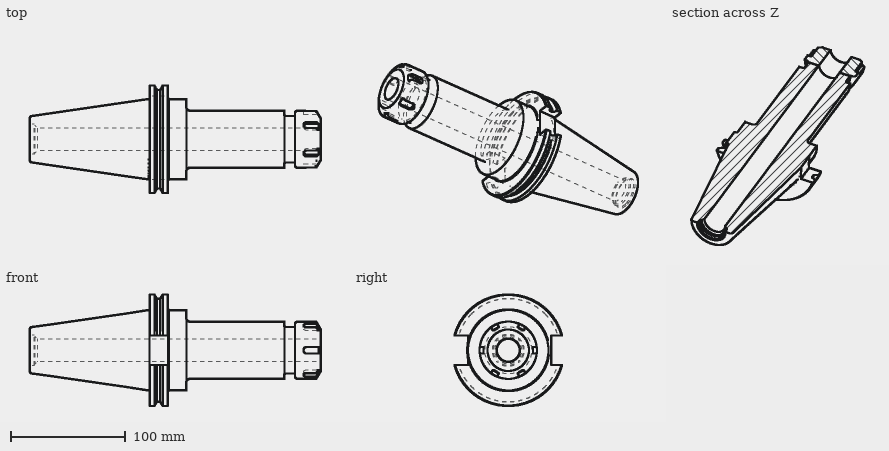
import cadquery as cq
import math


taper_length = 101.75
gauge_diameter = 69.85
taper_ratio = 7 / 24
small_end_diameter = gauge_diameter - taper_length * taper_ratio
small_end_fillet = 2.3

collar_diameter = 70.2
taper_end = taper_length + (collar_diameter - gauge_diameter) / taper_ratio

flange_diameter = 97.5
flange_start = taper_length + 2.8
flange_end = taper_length + 19.1
flange_chamfer = 0.5
flange_root_fillet = 0.8
collar_root_fillet = 0.6
groove_center = taper_length + 10.7
groove_floor_diameter = 90.0
groove_floor_width = 3.1
groove_root_fillet = 0.5
groove_half_angle = 30
groove_depth = (flange_diameter - groove_floor_diameter) / 2
groove_mouth_width = groove_floor_width + 2 * groove_depth * math.tan(math.radians(groove_half_angle))

drive_slot_width = 25.7
front_slot_floor = 35.3
back_slot_floor = 37.7

collar_end = taper_length + 35
shank_diameter = 50.0
shank_root_fillet = 3.0
shank_end = 222.3
neck_diameter = 41.0
neck_root_fillet = 0.7

bore_diameter = 20.0
throat_diameter = 23.6
pilot_diameter = 26.2
mouth_diameter = 28.0
pilot_depth = 4.0
throat_depth = 4.75
bore_start = 6.9

nut_diameter = 50.0
nut_start = 231.3
nut_end = 254.02
nut_face_diameter = 36.2
nut_rear_fillet = 2.3
nut_nose_radius = 1.3
nut_nose_angle = 30
nut_slot_count = 6
nut_slot_width = 6.0
nut_slot_start = 238.9
nut_slot_floor = 21.6


def revolve_profile(profile):
    """Turn a profile, drawn as (x, radius), about the X axis."""
    return profile.close().revolve(360, (0, 0, 0), (1, 0, 0))


def make_holder():
    taper_half_angle = math.atan(taper_ratio / 2)
    fillet_setback = small_end_fillet * math.tan(math.pi / 4 - taper_half_angle / 2)
    rounding_face_radius = small_end_diameter / 2 - fillet_setback
    rounding_end = small_end_fillet * (1 - math.sin(taper_half_angle))
    rounding_end_radius = small_end_diameter / 2 + rounding_end * taper_ratio / 2
    holder = revolve_profile(
        cq.Workplane("XY")
        .moveTo(0, 0)
        .lineTo(0, rounding_face_radius)
        .radiusArc((rounding_end, rounding_end_radius), small_end_fillet)
        .lineTo(taper_end, collar_diameter / 2)
        .lineTo(flange_start - flange_root_fillet, collar_diameter / 2)
        .radiusArc((flange_start, collar_diameter / 2 + flange_root_fillet), -flange_root_fillet)
        .lineTo(flange_start, flange_diameter / 2 - flange_chamfer)
        .lineTo(flange_start + flange_chamfer, flange_diameter / 2)
        .lineTo(flange_end - flange_chamfer, flange_diameter / 2)
        .lineTo(flange_end, flange_diameter / 2 - flange_chamfer)
        .lineTo(flange_end, collar_diameter / 2 + collar_root_fillet)
        .radiusArc((flange_end + collar_root_fillet, collar_diameter / 2), -collar_root_fillet)
        .lineTo(collar_end, collar_diameter / 2)
        .lineTo(collar_end, shank_diameter / 2 + shank_root_fillet)
        .radiusArc((collar_end + shank_root_fillet, shank_diameter / 2), -shank_root_fillet)
        .lineTo(shank_end, shank_diameter / 2)
        .lineTo(shank_end, neck_diameter / 2 + neck_root_fillet)
        .radiusArc((shank_end + neck_root_fillet, neck_diameter / 2), -neck_root_fillet)
        .lineTo(nut_start, neck_diameter / 2)
        .lineTo(nut_start, 0)
    )
    return holder.cut(make_gripper_groove()).cut(make_bore()).cut(make_drive_slots())


def make_gripper_groove():
    """Vee ring with a flat floor and rounded floor corners."""
    ring = revolve_profile(
        cq.Workplane("XY")
        .moveTo(groove_center - groove_mouth_width / 2, flange_diameter / 2)
        .lineTo(groove_center - groove_floor_width / 2, groove_floor_diameter / 2)
        .lineTo(groove_center + groove_floor_width / 2, groove_floor_diameter / 2)
        .lineTo(groove_center + groove_mouth_width / 2, flange_diameter / 2)
    )
    floor_corners = cq.selectors.RadiusNthSelector(0)
    return ring.edges("%CIRCLE").edges(floor_corners).fillet(groove_root_fillet)


def make_bore():
    mouth_chamfer = (mouth_diameter - pilot_diameter) / 2
    return revolve_profile(
        cq.Workplane("XY")
        .moveTo(0, 0)
        .lineTo(0, mouth_diameter / 2)
        .lineTo(mouth_chamfer, pilot_diameter / 2)
        .lineTo(pilot_depth, pilot_diameter / 2)
        .lineTo(throat_depth, throat_diameter / 2)
        .lineTo(bore_start, bore_diameter / 2)
        .lineTo(nut_end, bore_diameter / 2)
        .lineTo(nut_end, 0)
    )


def make_drive_slots():
    """Slots on the -Y and +Y sides, which differ in depth."""
    length = flange_end - flange_start
    middle = (flange_start + flange_end) / 2
    slots = cq.Workplane("XY")
    for side, floor in ((-1, front_slot_floor), (1, back_slot_floor)):
        depth = flange_diameter / 2 - floor
        slots = slots.add(
            cq.Workplane("XY").box(length, depth, drive_slot_width)
            .translate((middle, side * (floor + depth / 2), 0))
        )
    return slots.combine()


def make_nut():
    arc_angle = math.radians(90 - nut_nose_angle)
    cone_start_radius = nut_diameter / 2 - nut_nose_radius * (1 - math.cos(arc_angle))
    cone_start = nut_end - (cone_start_radius - nut_face_diameter / 2) / math.tan(arc_angle)
    arc_start = cone_start - nut_nose_radius * math.sin(arc_angle)
    nut = revolve_profile(
        cq.Workplane("XY")
        .moveTo(nut_start, bore_diameter / 2)
        .lineTo(nut_start, nut_diameter / 2 - nut_rear_fillet)
        .radiusArc((nut_start + nut_rear_fillet, nut_diameter / 2), nut_rear_fillet)
        .lineTo(arc_start, nut_diameter / 2)
        .radiusArc((cone_start, cone_start_radius), nut_nose_radius)
        .lineTo(nut_end, nut_face_diameter / 2)
        .lineTo(nut_end, bore_diameter / 2)
    )
    slot = make_nut_slot()
    for index in range(nut_slot_count):
        nut = nut.cut(slot.rotate((0, 0, 0), (1, 0, 0), index * 360 / nut_slot_count))
    return nut


def make_nut_slot():
    """Spanner slot on the -Y side with a round inner end, open at the nose."""
    end_radius = nut_slot_width / 2
    return (
        cq.Workplane("XZ", origin=(0, -nut_slot_floor, 0))
        .moveTo(nut_end, -end_radius)
        .lineTo(nut_slot_start + end_radius, -end_radius)
        .radiusArc((nut_slot_start + end_radius, end_radius), end_radius)
        .lineTo(nut_end, end_radius)
        .close()
        .extrude(nut_diameter / 2 - nut_slot_floor)
    )


holder = make_holder()
nut = make_nut()
result = cq.Compound.makeCompound([holder.val(), nut.val()])